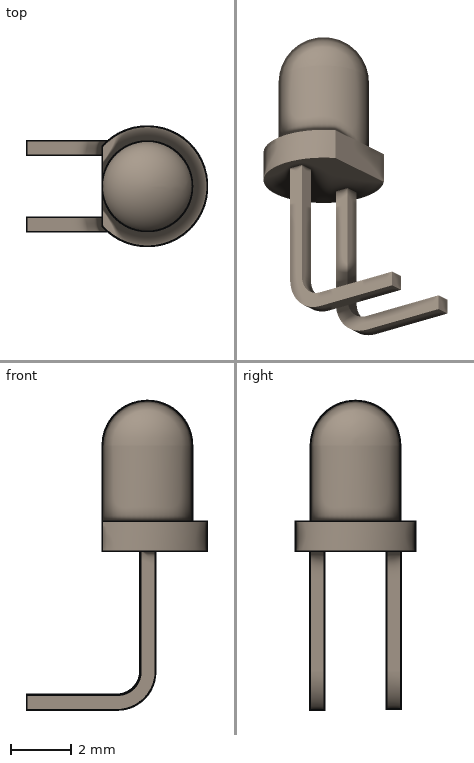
import cadquery as cq
import math

lens_diameter = 3.0
lens_radius = lens_diameter / 2
flange_diameter = 4.0
flange_radius = flange_diameter / 2
flange_height = 1.0
flat_offset = lens_radius

lead_width = 0.49
lead_pitch = 2.54
lead_reach = 4.01
bend_center_x = -1.01
bend_center_z = 1.28
front_bend_radius = bend_center_z
back_bend_radius = 1.25

total_height = 10.27
flange_bottom = 5.27
dome_base = total_height - lens_radius


def make_housing():
    flange = (
        cq.Workplane("XY")
        .workplane(offset=flange_bottom)
        .circle(flange_radius)
        .extrude(flange_height)
    )
    flat_cutter = (
        cq.Workplane("XY")
        .box(flange_diameter, flange_diameter, total_height, centered=(False, True, False))
        .translate((-flat_offset - flange_diameter, 0, 0))
    )
    profile_mid = lens_radius * math.sqrt(0.5)
    lens = (
        cq.Workplane("XZ")
        .moveTo(0, flange_bottom)
        .lineTo(lens_radius, flange_bottom)
        .lineTo(lens_radius, dome_base)
        .threePointArc((profile_mid, dome_base + profile_mid), (0, total_height))
        .close()
        .revolve(360, (0, 0, 0), (0, 1, 0))
    )
    return flange.cut(flat_cutter).union(lens)


def make_lead(center_y, outer_radius):
    inner_radius = outer_radius - lead_width
    outer_x = bend_center_x + outer_radius
    inner_x = bend_center_x + inner_radius
    bottom_z = bend_center_z - outer_radius
    top_z = bend_center_z - inner_radius
    outer_mid = outer_radius * math.sqrt(0.5)
    inner_mid = inner_radius * math.sqrt(0.5)
    return (
        cq.Workplane("XZ", origin=(0, center_y, 0))
        .moveTo(outer_x, flange_bottom)
        .lineTo(outer_x, bend_center_z)
        .threePointArc(
            (bend_center_x + outer_mid, bend_center_z - outer_mid),
            (bend_center_x, bottom_z),
        )
        .lineTo(-lead_reach, bottom_z)
        .lineTo(-lead_reach, top_z)
        .lineTo(bend_center_x, top_z)
        .threePointArc(
            (bend_center_x + inner_mid, bend_center_z - inner_mid),
            (inner_x, bend_center_z),
        )
        .lineTo(inner_x, flange_bottom)
        .close()
        .extrude(lead_width / 2, both=True)
    )


housing = make_housing()
lead_bends = [(-lead_pitch / 2, front_bend_radius), (lead_pitch / 2, back_bend_radius)]
leads = [make_lead(center_y, bend_radius) for center_y, bend_radius in lead_bends]

result = cq.Compound.makeCompound([housing.val(), *[lead.val() for lead in leads]])